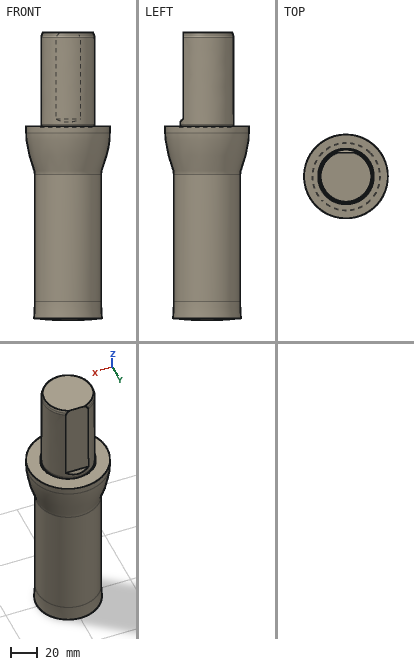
import cadquery as cq
import math

total_height = 214.0
rim_z = 1.5
flare_top_z = 14.1
bell_bottom_z = 108.5
bell_top_z = 139.3
head_top_z = 144.5
neck_top_z = 145.7
shank_shoulder_z = 210.5
shank_edge_z = 212.3

head_radius = 62.5 / 2
barrel_radius = 49.6 / 2
rim_radius = 50.7 / 2

bell_foot_radius = 15.0

shank_base_radius = 40.0 / 2
shank_top_radius = 39.8 / 2
neck_radius = 39.5 / 2
shank_edge_radius = 39.0 / 2
top_face_radius = 37.5 / 2

recess_radius = 41.5 / 2
recess_depth = 1.0

flat_offset = 17.8
flat_bottom_z = 149.8
runout_angle = 45.0


def flare_point(z):
    """Point of the flare arc, which leaves the barrel tangentially."""
    flare_height = flare_top_z - rim_z
    growth = rim_radius - barrel_radius
    arc_radius = (flare_height**2 + growth**2) / (2 * growth)
    drop = flare_top_z - z
    return barrel_radius + arc_radius - math.sqrt(arc_radius**2 - drop**2), z


def make_holder():
    bell_height = bell_top_z - bell_bottom_z
    bell_growth = head_radius - barrel_radius
    radius_sum = (bell_height**2 + bell_growth**2) / (2 * bell_growth)
    foot_share = bell_foot_radius / radius_sum
    blend_point = (
        barrel_radius + bell_growth * foot_share,
        bell_bottom_z + bell_height * foot_share,
    )
    dome_radius = (rim_radius**2 + rim_z**2) / (2 * rim_z)
    dome_mid_r = rim_radius / 2
    dome_mid = (dome_mid_r, dome_radius - math.sqrt(dome_radius**2 - dome_mid_r**2))

    holder = (
        cq.Workplane("XZ")
        .moveTo(0, 0)
        .threePointArc(dome_mid, (rim_radius, rim_z))
        .threePointArc(flare_point((rim_z + flare_top_z) / 2), (barrel_radius, flare_top_z))
        .lineTo(barrel_radius, bell_bottom_z)
        .spline(
            [blend_point, (head_radius, bell_top_z)],
            tangents=[(0, 1), (0, 1)],
            includeCurrent=True,
        )
        .lineTo(head_radius, head_top_z)
        .lineTo(0, head_top_z)
        .close()
        .revolve(360, (0, 0), (0, 1))
    )
    recess = (
        cq.Workplane("XY", origin=(0, 0, head_top_z - recess_depth))
        .circle(recess_radius)
        .extrude(recess_depth)
    )
    return holder.cut(recess)


def make_flat_cutter():
    """Block that removes the +Y side of the shank above the sloping run-out."""
    reach = shank_base_radius
    runout_drop = reach * math.tan(math.radians(runout_angle))
    return (
        cq.Workplane("YZ")
        .moveTo(flat_offset, flat_bottom_z)
        .lineTo(flat_offset + reach, flat_bottom_z - runout_drop)
        .lineTo(flat_offset + reach, total_height)
        .lineTo(flat_offset, total_height)
        .close()
        .extrude(shank_base_radius, both=True)
    )


def make_shank():
    shank_bottom_z = head_top_z - recess_depth
    shank = (
        cq.Workplane("XZ")
        .moveTo(0, shank_bottom_z)
        .lineTo(neck_radius, shank_bottom_z)
        .lineTo(neck_radius, head_top_z)
        .lineTo(shank_base_radius, neck_top_z)
        .lineTo(shank_top_radius, shank_shoulder_z)
        .lineTo(shank_edge_radius, shank_edge_z)
        .lineTo(top_face_radius, total_height)
        .lineTo(0, total_height)
        .close()
        .revolve(360, (0, 0), (0, 1))
    )
    return shank.cut(make_flat_cutter())


holder = make_holder()
shank = make_shank()

result = cq.Compound.makeCompound([holder.val(), shank.val()])